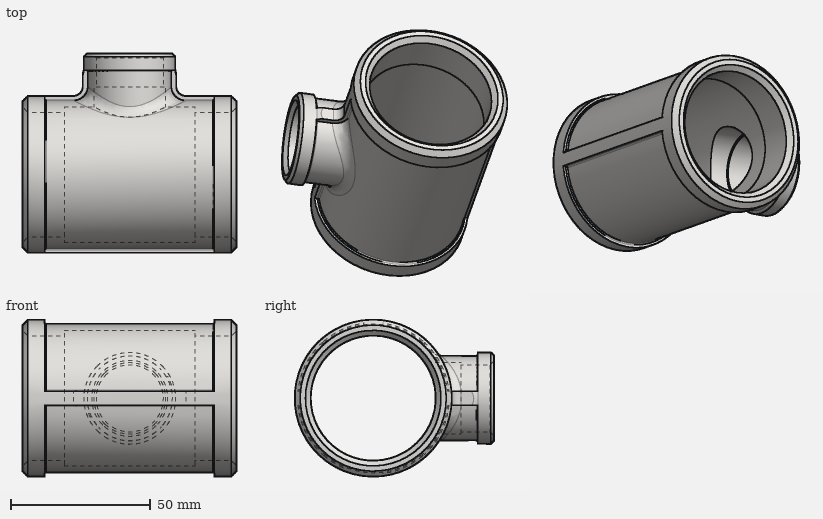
import cadquery as cq
import math

run_length = 77.0
collar_diameter = 56.5
run_body_diameter = 53.5
run_collar_length = 8.0
run_outer_chamfer = 2.0
run_thread_diameter = 44.84
run_mouth_diameter = 48.7
run_thread_depth = 15.0

branch_end = 43.5
branch_collar_diameter = 33.0
branch_body_diameter = 30.5
branch_collar_length = 6.0
branch_outer_chamfer = 1.2
branch_thread_diameter = 24.12
branch_mouth_diameter = 27.3
branch_thread_depth = 12.0

rib_width = 5.0
branch_rib_span = 33.7
rib_corner_radius = 3.3
rib_taper_length = 1.45

wall_thickness = 2.4
junction_radius = 5.0
root_radius = 0.5

run_half = run_length / 2
run_body_half = run_half - run_collar_length
collar_radius = collar_diameter / 2
run_body_radius = run_body_diameter / 2
run_middle_diameter = run_body_diameter - 2 * wall_thickness
branch_body_end = branch_end - branch_collar_length
branch_middle_diameter = branch_body_diameter - 2 * wall_thickness


def run_cylinder(diameter, length):
    """Cylinder centred on the run axis."""
    return cq.Workplane("YZ").circle(diameter / 2).extrude(length / 2, both=True)


def branch_cylinder(diameter, start, end):
    """Cylinder on the branch axis between two Y positions."""
    return cq.Workplane("XZ", origin=(0, start, 0)).circle(diameter / 2).extrude(start - end)


def revolve_about_y(points):
    """Solid of revolution about Y from a closed outline of (radius, y) points."""
    return cq.Workplane("XY").polyline(points).close().revolve(360, (0, 0), (0, 1))


def junction():
    """Plain run and branch barrels, blended where they meet."""
    run = run_cylinder(run_body_diameter, 2 * run_body_half)
    branch = branch_cylinder(branch_body_diameter, 0, branch_body_end)
    seam_box = cq.selectors.BoxSelector(
        (-branch_body_diameter, 1, -collar_radius),
        (branch_body_diameter, branch_body_end - 1, collar_radius),
    )
    return run.union(branch).edges(seam_box).fillet(junction_radius)


def run_barrel():
    """Collared run with a rib along each side and rounded roots around the recessed panels."""
    blank = run_cylinder(collar_diameter, run_length).faces("<X or >X").chamfer(run_outer_chamfer)
    rib_slab = cq.Workplane("XY").box(run_length, 2 * collar_diameter, rib_width)
    recess = (
        run_cylinder(2 * collar_diameter, 2 * run_body_half)
        .cut(run_cylinder(run_body_diameter, run_length))
        .cut(rib_slab)
    )
    panel_box = cq.selectors.BoxSelector(
        (-run_half, -run_body_radius, -run_body_radius),
        (run_half, run_body_radius, run_body_radius),
    )
    return blank.cut(recess.edges(panel_box).fillet(root_radius))


def branch_barrel():
    """Collared branch with a rounded root under its collar."""
    collar = branch_cylinder(branch_collar_diameter, branch_body_end, branch_end)
    collar = collar.faces(">Y").edges().chamfer(branch_outer_chamfer)
    barrel = collar.union(branch_cylinder(branch_body_diameter, 0, branch_body_end))
    collar_root = barrel.edges("%CIRCLE").edges(cq.selectors.RadiusNthSelector(0)).edges(">Y")
    return collar_root.fillet(root_radius)


def branch_rib():
    """Flat web flaring from the run up both sides of the branch, tapered into the branch collar."""
    half_span = branch_rib_span / 2
    flare = half_span + rib_corner_radius
    corner_end = collar_radius + rib_corner_radius
    arc_inset = rib_corner_radius * (1 - math.sqrt(0.5))
    arc_x = half_span + arc_inset
    arc_y = collar_radius + arc_inset
    web = (
        cq.Workplane("XY", origin=(0, 0, -rib_width / 2))
        .moveTo(-flare, 0)
        .lineTo(-flare, collar_radius)
        .threePointArc((-arc_x, arc_y), (-half_span, corner_end))
        .lineTo(-half_span, branch_body_end)
        .lineTo(half_span, branch_body_end)
        .lineTo(half_span, corner_end)
        .threePointArc((arc_x, arc_y), (flare, collar_radius))
        .lineTo(flare, 0)
        .close()
        .extrude(rib_width)
    )
    collar_rim = branch_collar_diameter / 2
    cone_rim = collar_rim + 2 * (half_span - collar_rim)
    cone_end = branch_body_end - 2 * rib_taper_length
    outside_cone = revolve_about_y([
        (collar_rim, branch_body_end),
        (2 * flare, branch_body_end),
        (2 * flare, cone_end),
        (cone_rim, cone_end),
    ])
    return web.cut(outside_cone)


def bore(thread_diameter, mouth_diameter, middle_diameter, end, depth):
    """Bore along +Y from the origin: wide middle, narrower thread, 45 degree lead-in at the mouth."""
    thread_radius = thread_diameter / 2
    mouth_radius = mouth_diameter / 2
    middle_radius = middle_diameter / 2
    thread_start = end - depth
    lead_in = mouth_radius - thread_radius
    return revolve_about_y([
        (0, 0),
        (middle_radius, 0),
        (middle_radius, thread_start),
        (thread_radius, thread_start),
        (thread_radius, end - lead_in),
        (mouth_radius, end),
        (0, end),
    ])


def all_bores():
    """Through bore of the run plus the branch bore opening into it."""
    run_bore = bore(
        run_thread_diameter, run_mouth_diameter, run_middle_diameter, run_half, run_thread_depth
    )
    branch_bore = bore(
        branch_thread_diameter, branch_mouth_diameter, branch_middle_diameter, branch_end, branch_thread_depth
    )
    right_half = run_bore.rotate((0, 0, 0), (0, 0, 1), -90)
    left_half = right_half.mirror("YZ")
    return right_half.union(left_half).union(branch_bore)


outer_body = junction().union(run_barrel()).union(branch_barrel()).union(branch_rib())
result = outer_body.cut(all_bores())